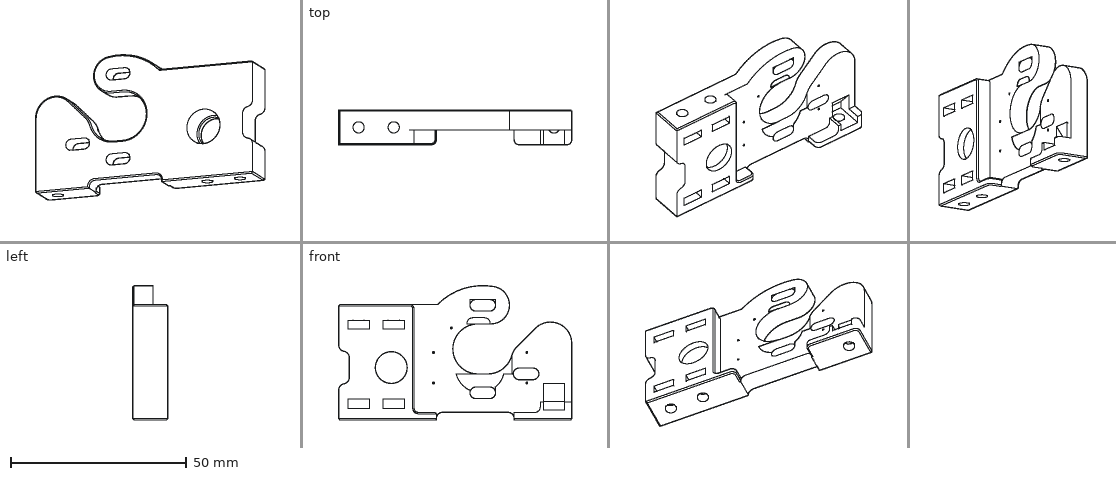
import cadquery as cq
import math

thickness = 10.0
plate_front = 4.2
length = 66.5
edge_chamfer = 0.4

block_width = 21.5
block_height = 33.0
block_corner = 1.3
bore_x = 15.0
bore_z = 15.0
bore_diameter = 9.0
bore_rear_diameter = 10.1
bore_lip = 2.0
notch_depth = 3.0
notch_half_floor = 2.8
notch_half_mouth = 6.4

foot_height = 2.2
left_foot_end = 27.9
right_foot_start = 50.0
foot_fillet = 1.7
foot_corner = 1.5
riser_start = 57.5
riser_height = 5.2
riser_fillet = 1.6

mouth_x = 41.1
mouth_z = 20.3
mouth_radius = 7.1
mouth_half_travel = 1.4
hook_radius = 18.1
hook_tip_radius = 5.4
hook_root_fillet = 0.1

lug_radius = 6.1
lug_z = 21.9
lug_blend = 6.2
flank_slope = 45
flank_normal = flank_slope + 90

screw_diameter = 3.2
screw_y = 5.0
nut_xs = (5.7, 15.7)
nut_width = 6.1
nut_depth = 8.1
upper_nut_bottom = 26.0
upper_nut_height = 2.45
lower_nut_bottom = 3.35
lower_nut_height = 2.7
foot_screw_x = 61.4
foot_nut_width = 5.9
foot_nut_bottom = 2.95
foot_nut_roof = 5.25
foot_nut_top = 10.45

slot_length = 7.25
slot_half_height = 1.62
upper_slot = (mouth_x, 32.75)
lower_slot = (mouth_x, 7.8)
right_slot = (53.45, mouth_z - mouth_radius)
squared_slots = (upper_slot, lower_slot)

relief_depth = 0.1
relief_x = 40.3
relief_z = 14.9
relief_radius = 7.0
relief_right = 49.5
relief_corner_top = 18.4
upper_relief_left = 36.6
upper_relief_width = 6.6
upper_relief_height = 1.8
upper_relief_corner = 1.6

pin_diameter = 0.5
pin_depth = 2.0
pin_places = ((32.15, 26.3), (27.05, 19.3), (27.05, 10.6), (53.65, 19.3), (53.65, 10.6))


def front_plane(y):
    """Sketch plane with local x = X and local y = Z whose extrusions run toward +Y."""
    return cq.Workplane(cq.Plane(origin=(0, y, 0), xDir=(1, 0, 0), normal=(0, -1, 0)))


def prism(sketch, depth):
    return sketch.extrude(-depth)


def box(x0, x1, y0, y1, z0, z1):
    return cq.Workplane("XY").box(x1 - x0, y1 - y0, z1 - z0, centered=False).translate((x0, y0, z0))


def on_circle(cx, cz, radius, degrees):
    angle = math.radians(degrees)
    return (cx + radius * math.cos(angle), cz + radius * math.sin(angle))


def make_plate():
    """Plate with hook, mouth, lug and the rear part of both feet, beveled around the back."""
    half = math.cos(math.radians(flank_slope))
    mouth_right = mouth_x + mouth_half_travel
    mouth_left = mouth_x - mouth_half_travel
    lug_x = length - lug_radius
    flank = lug_x - lug_z - lug_radius / half
    reach = mouth_radius + lug_blend
    spread = (flank + lug_blend / half - mouth_right + mouth_z) / reach
    join = math.degrees(math.acos(spread * half)) - flank_slope
    lug_middle = on_circle(lug_x, lug_z, lug_radius, flank_normal / 2)
    lug_end = on_circle(lug_x, lug_z, lug_radius, flank_normal)
    blend_x, blend_z = on_circle(mouth_right, mouth_z, reach, join)
    hook_start = mouth_x - math.sqrt(hook_radius**2 - (block_height - mouth_z) ** 2)
    tip_distance = hook_radius - hook_tip_radius
    tip_rise = mouth_radius + hook_tip_radius
    tip_x = mouth_x + math.sqrt(tip_distance**2 - tip_rise**2)
    tip_z = mouth_z + tip_rise
    tip_angle = math.degrees(math.asin(tip_rise / tip_distance))
    hook_start_angle = math.degrees(math.acos((hook_start - mouth_x) / hook_radius))
    hook_middle_angle = (tip_angle + hook_start_angle) / 2
    mouth_bottom = mouth_z - mouth_radius
    mouth_top = mouth_z + mouth_radius

    outline = (
        front_plane(plate_front)
        .moveTo(0, 0)
        .lineTo(left_foot_end, 0)
        .lineTo(left_foot_end, foot_height - foot_fillet)
        .tangentArcPoint((left_foot_end + foot_fillet, foot_height), relative=False)
        .lineTo(right_foot_start - foot_fillet, foot_height)
        .tangentArcPoint((right_foot_start, foot_height - foot_fillet), relative=False)
        .lineTo(right_foot_start, 0)
        .lineTo(length, 0)
        .lineTo(length, lug_z)
        .threePointArc(lug_middle, lug_end)
        .lineTo(*on_circle(blend_x, blend_z, lug_blend, flank_normal))
        .tangentArcPoint(on_circle(mouth_right, mouth_z, mouth_radius, join), relative=False)
        .tangentArcPoint((mouth_right, mouth_bottom), relative=False)
        .lineTo(mouth_left, mouth_bottom)
        .threePointArc((mouth_left - mouth_radius, mouth_z), (mouth_left, mouth_top))
        .lineTo(tip_x, mouth_top)
        .threePointArc((tip_x + hook_tip_radius, tip_z), on_circle(mouth_x, mouth_z, hook_radius, tip_angle))
        .threePointArc(on_circle(mouth_x, mouth_z, hook_radius, hook_middle_angle), (hook_start, block_height))
        .lineTo(0, block_height)
        .close()
    )
    plate = prism(outline, thickness - plate_front)
    hook_root = cq.selectors.NearestToPointSelector((hook_start, (plate_front + thickness) / 2, block_height))
    plate = plate.edges("|Y").edges(hook_root).fillet(hook_root_fillet)
    return plate.faces(">Y").edges("not(<X)").chamfer(edge_chamfer)


def make_block():
    """Front part of the clamp block and left foot, beveled around the front."""
    outline = (
        front_plane(0)
        .moveTo(0, 0)
        .lineTo(left_foot_end, 0)
        .lineTo(left_foot_end, foot_height)
        .lineTo(block_width + block_corner, foot_height)
        .tangentArcPoint((block_width, foot_height + block_corner), relative=False)
        .lineTo(block_width, block_height - block_corner)
        .tangentArcPoint((block_width - block_corner, block_height), relative=False)
        .lineTo(0, block_height)
        .close()
    )
    block = prism(outline, plate_front)
    foot_edge = cq.selectors.NearestToPointSelector((left_foot_end, 0, foot_height / 2))
    block = block.edges(foot_edge).fillet(foot_corner)
    return block.faces("<Y").edges("not(<X)").chamfer(edge_chamfer)


def make_right_foot():
    """Front part of the right foot, stepping up to the riser that holds a nut."""
    outline = (
        front_plane(0)
        .moveTo(right_foot_start, 0)
        .lineTo(length, 0)
        .lineTo(length, riser_height)
        .lineTo(riser_start, riser_height)
        .lineTo(riser_start, foot_height + riser_fillet)
        .tangentArcPoint((riser_start - riser_fillet, foot_height), relative=False)
        .lineTo(right_foot_start, foot_height)
        .close()
    )
    foot = prism(outline, plate_front)
    foot = foot.faces("<Y").edges("<X or >X").fillet(foot_corner)
    return foot.faces("<Z").edges("not(>Y)").chamfer(edge_chamfer)


def make_notch():
    """S-curved notch through the left side, level with the bore."""
    half_mid = (notch_half_floor + notch_half_mouth) / 2
    mid_x = notch_depth / 2
    upper_half = (
        front_plane(0)
        .moveTo(notch_depth, bore_z)
        .lineTo(notch_depth, bore_z + notch_half_floor)
        .tangentArcPoint((mid_x, bore_z + half_mid), relative=False)
        .tangentArcPoint((0, bore_z + notch_half_mouth), relative=False)
        .lineTo(0, bore_z)
        .close()
    )
    upper = prism(upper_half, thickness)
    return upper.union(upper.mirror("XY", (0, 0, bore_z)))


def make_bore():
    lip = prism(front_plane(0).center(bore_x, bore_z).circle(bore_diameter / 2), thickness)
    rear = prism(front_plane(bore_lip).center(bore_x, bore_z).circle(bore_rear_diameter / 2), thickness)
    return lip.union(rear)


def screw_hole(x, z0, z1):
    return cq.Workplane("XY", origin=(x, screw_y, z0)).circle(screw_diameter / 2).extrude(z1 - z0)


def make_clamp_screws():
    """Nut pockets open to the front, each reached by a screw hole from the top or the bottom face."""
    cuts = cq.Workplane("XY")
    upper_top = upper_nut_bottom + upper_nut_height
    lower_top = lower_nut_bottom + lower_nut_height
    for x in nut_xs:
        left = x - nut_width / 2
        right = x + nut_width / 2
        cuts = cuts.add(box(left, right, 0, nut_depth, upper_nut_bottom, upper_top))
        cuts = cuts.add(box(left, right, 0, nut_depth, lower_nut_bottom, lower_top))
        cuts = cuts.add(screw_hole(x, upper_nut_bottom, block_height))
        cuts = cuts.add(screw_hole(x, 0, lower_top))
    return cuts.combine()


def make_foot_nut():
    """Nut seat in the right foot with a roof that slopes down toward the back, and its screw hole."""
    seat = (
        cq.Workplane("YZ", origin=(foot_screw_x - foot_nut_width / 2, 0, 0))
        .moveTo(0, foot_nut_bottom)
        .lineTo(nut_depth, foot_nut_bottom)
        .lineTo(nut_depth, foot_nut_roof)
        .lineTo(plate_front, foot_nut_top)
        .lineTo(0, foot_nut_top)
        .close()
        .extrude(foot_nut_width)
    )
    return seat.union(screw_hole(foot_screw_x, 0, foot_nut_bottom))


def make_slots():
    centers = front_plane(plate_front).pushPoints((*squared_slots, right_slot))
    slots = prism(centers.slot2D(slot_length, 2 * slot_half_height), thickness)
    for x, z in squared_slots:
        corner_relief = box(
            x - slot_length / 2,
            x + slot_length / 2,
            plate_front,
            plate_front + relief_depth,
            z,
            z + slot_half_height,
        )
        slots = slots.union(corner_relief)
    return slots


def make_mouth_relief():
    """Shallow step around the mouth: a round segment and a square corner below, a rounded tab above."""
    relief_bottom = mouth_z - mouth_radius
    relief_top = mouth_z + mouth_radius
    disc = prism(front_plane(plate_front).center(relief_x, relief_z).circle(relief_radius), relief_depth)
    relief_back = plate_front + relief_depth
    slot_top = lower_slot[1] + slot_half_height
    slot_left = lower_slot[0] - slot_length / 2
    below = box(0, length, plate_front, relief_back, 0, relief_bottom)
    under_slot = box(slot_left, length, plate_front, relief_back, 0, slot_top)
    segment = disc.intersect(below).cut(under_slot)
    corner = box(mouth_x, relief_right, plate_front, relief_back, relief_bottom, relief_corner_top)
    tab = box(
        upper_relief_left,
        upper_relief_left + upper_relief_width,
        plate_front,
        relief_back,
        relief_top,
        relief_top + upper_relief_height,
    )
    tab = tab.faces(">Z").edges("|Y").fillet(upper_relief_corner)
    return segment.union(corner).union(tab)


def make_pins():
    return prism(front_plane(plate_front).pushPoints(pin_places).circle(pin_diameter / 2), pin_depth)


def make_edge_bevels():
    """Wedges that bevel the two ends of the left side and the bottom edge of the right side."""
    corners = ((0, 0), (0, block_height), (length, 0))
    diamond = front_plane(0).pushPoints(corners).polygon(4, 2 * edge_chamfer)
    return prism(diamond, thickness)


result = make_plate().union(make_block()).union(make_right_foot())
for cut in (
    make_edge_bevels(),
    make_notch(),
    make_bore(),
    make_clamp_screws(),
    make_foot_nut(),
    make_slots(),
    make_mouth_relief(),
    make_pins(),
):
    result = result.cut(cut)